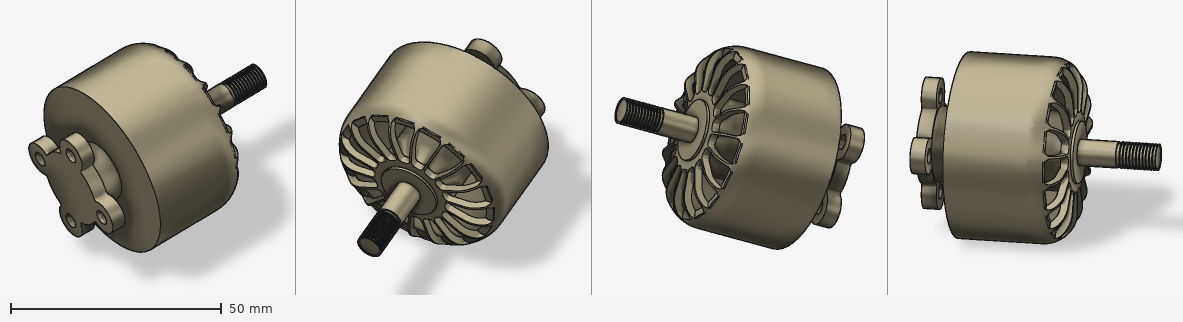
import cadquery as cq
import math

flange_thickness = 3.7
bell_bottom = 9.5
bell_top = 37.1
collar_top = 37.75
shoulder_height = 47.1
shaft_end = 56.88

flange_radius = 9.8
lobe_count = 4
lobe_radius = 4.33
lobe_pitch_radius = 11.73
lobe_fillet = 0.7
screw_hole_diameter = 3.7

neck_bottom_radius = 9.25
neck_top_radius = 7.5

bell_radius = 22.255
bell_edge_radius = 7.35
wall_thickness = 1.9
hub_radius = 9.5

window_count = 18
window_outer_radius = 20.9
window_corner_radius = 1.2
window_depth = 3.6
spoke_width = 0.55
spoke_offset_angle = -0.9

collar_radius = 7.45
shaft_radius = 3.18
thread_core_radius = 2.72
ridge_count = 12
ridge_pitch = 0.8
ridge_thickness = 0.15


def plane_at(height):
    """Plane across the motor axis: local x is X, local y is Z, normal is -Y."""
    return cq.Workplane("XZ", origin=(0, height, 0))


def disc(radius, bottom, top):
    """Solid cylinder on the motor axis between two heights."""
    return plane_at(bottom).circle(radius).extrude(bottom - top)


def make_flange():
    flange = disc(flange_radius, 0, flange_thickness)
    lobes = plane_at(0).polarArray(lobe_pitch_radius, 0, 360, lobe_count)
    flange = flange.union(lobes.circle(lobe_radius).extrude(-flange_thickness))
    corner_box = cq.selectors.BoxSelector(
        (-flange_radius, 0, -flange_radius),
        (flange_radius, flange_thickness, flange_radius),
    )
    flange = flange.edges("|Y").edges(corner_box).fillet(lobe_fillet)
    holes = plane_at(0).polarArray(lobe_pitch_radius, 0, 360, lobe_count)
    return flange.cut(holes.circle(screw_hole_diameter / 2).extrude(-flange_thickness))


def make_neck():
    return (
        cq.Workplane("XY")
        .moveTo(0, flange_thickness)
        .lineTo(neck_bottom_radius, flange_thickness)
        .lineTo(neck_top_radius, bell_bottom)
        .lineTo(0, bell_bottom)
        .close()
        .revolve(360, (0, 0, 0), (0, 1, 0))
    )


def make_rounded_drum(radius, bottom, top, edge_radius):
    """Cylinder whose upper edge is rounded."""
    return disc(radius, bottom, top).faces(">Y").edges().fillet(edge_radius)


def window_half_width(radius):
    """Half width of a window that leaves spokes of constant width."""
    half_pitch = math.pi / window_count
    return radius * math.tan(half_pitch) - spoke_width / 2 / math.cos(half_pitch)


def make_window_cutter():
    inner_half = window_half_width(hub_radius)
    outer_half = window_half_width(window_outer_radius)
    return (
        plane_at(bell_top - window_depth)
        .polyline([
            (-inner_half, hub_radius),
            (inner_half, hub_radius),
            (outer_half, window_outer_radius),
            (-outer_half, window_outer_radius),
        ])
        .close()
        .extrude(-window_depth)
        .edges("|Y")
        .fillet(window_corner_radius)
    )


def make_bell():
    bell = make_rounded_drum(bell_radius, bell_bottom, bell_top, bell_edge_radius)
    cavity = make_rounded_drum(
        bell_radius - wall_thickness,
        bell_bottom + wall_thickness,
        bell_top - wall_thickness,
        bell_edge_radius - wall_thickness,
    )
    bell = bell.cut(cavity.cut(disc(hub_radius, bell_bottom, bell_top)))
    window = make_window_cutter()
    pitch_angle = 360 / window_count
    for index in range(window_count):
        angle = spoke_offset_angle + (index + 0.5) * pitch_angle
        bell = bell.cut(window.rotate((0, 0, 0), (0, 1, 0), angle))
    return bell


def make_shaft():
    shaft = disc(collar_radius, bell_top, collar_top)
    shaft = shaft.union(disc(shaft_radius, bell_top, shoulder_height))
    shaft = shaft.union(disc(thread_core_radius, bell_top, shaft_end))
    for index in range(ridge_count):
        ridge_top = shaft_end - index * ridge_pitch
        shaft = shaft.union(disc(shaft_radius, ridge_top - ridge_thickness, ridge_top))
    return shaft


result = make_flange().union(make_neck()).union(make_bell()).union(make_shaft())